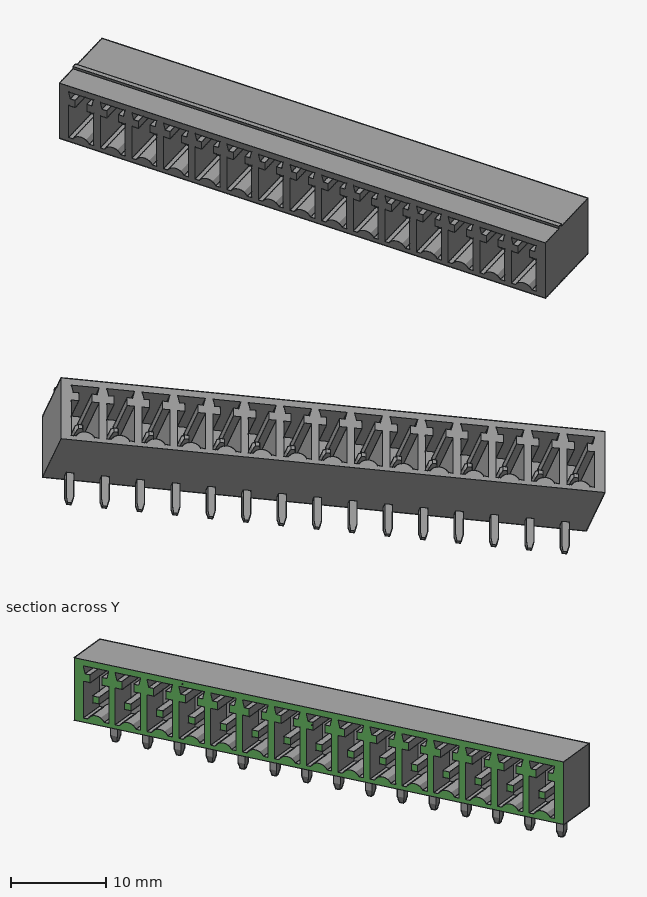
import cadquery as cq
import math


length = 58.55
depth = 9.2
height = 7.2
pole_count = 15
row_span = 53.35

rail_front = 2.9
rail_width = 0.5
rail_height = 0.3

socket_width = 3.0
socket_depth = 7.0
floor_thickness = 0.5
roof_thickness = 0.75
neck_width = 1.4
shoulder_drop = 1.75
shelf_drop = 0.8
shelf_width = 2.6

ridge_width = 2.0
ridge_height = 0.555

pin_size = 0.8
pin_tip_size = 0.45
pin_tip_length = 0.7
contact_height = 2.85
contact_recess = 2.35
leg_length = 3.45
leg_inset = 1.3

socket_roof = height - roof_thickness
leg_y = depth - leg_inset
pitch = row_span / (pole_count - 1)
pole_positions = [i * pitch - row_span / 2 for i in range(pole_count)]


def make_housing():
    body = cq.Workplane("XY").box(length, depth, height, centered=(True, False, False))
    rail = (
        cq.Workplane("XY", origin=(0, rail_front, height))
        .box(length, rail_width, rail_height, centered=(True, False, False))
    )
    return body.union(rail)


def make_socket(x):
    """Cutter for one socket: a wide chamber, a neck and a flared slot above it, less the floor ridge."""
    half_socket = socket_width / 2
    half_ridge = ridge_width / 2
    half_neck = neck_width / 2
    half_shelf = shelf_width / 2
    shoulder = socket_roof - shoulder_drop
    shelf = socket_roof - shelf_drop
    return (
        cq.Workplane("XZ", origin=(x, 0, 0))
        .moveTo(-half_socket, floor_thickness)
        .lineTo(-half_ridge, floor_thickness)
        .threePointArc((0, floor_thickness + ridge_height), (half_ridge, floor_thickness))
        .lineTo(half_socket, floor_thickness)
        .lineTo(half_socket, shoulder)
        .lineTo(half_neck, shoulder)
        .lineTo(half_neck, shelf)
        .lineTo(half_shelf, shelf)
        .lineTo(half_socket, socket_roof)
        .lineTo(-half_socket, socket_roof)
        .lineTo(-half_shelf, shelf)
        .lineTo(-half_neck, shelf)
        .lineTo(-half_neck, shoulder)
        .lineTo(-half_socket, shoulder)
        .close()
        .extrude(-socket_depth)
    )


def make_pin_arm(plane, reach):
    """Square bar along the plane normal, ending after `reach` in a blunt pyramid tip."""
    shank_length = reach - pin_tip_length
    tip_taper = math.degrees(math.atan((pin_size - pin_tip_size) / 2 / pin_tip_length))
    shank = cq.Workplane(plane).rect(pin_size, pin_size).extrude(shank_length)
    tip = (
        cq.Workplane(plane)
        .workplane(offset=shank_length)
        .rect(pin_size, pin_size)
        .extrude(pin_tip_length, taper=tip_taper)
    )
    return shank.union(tip)


def make_pin(x):
    """Right-angle pin: contact arm toward the mating face and solder leg below the housing."""
    contact_start = cq.Plane(origin=(x, leg_y, contact_height), xDir=(1, 0, 0), normal=(0, -1, 0))
    leg_start = cq.Plane(origin=(x, leg_y, contact_height), xDir=(1, 0, 0), normal=(0, 0, -1))
    contact = make_pin_arm(contact_start, leg_y - contact_recess)
    leg = make_pin_arm(leg_start, contact_height + leg_length)
    return contact.union(leg)


result = make_housing()
for pole_x in pole_positions:
    result = result.cut(make_socket(pole_x))
    result = result.union(make_pin(pole_x))